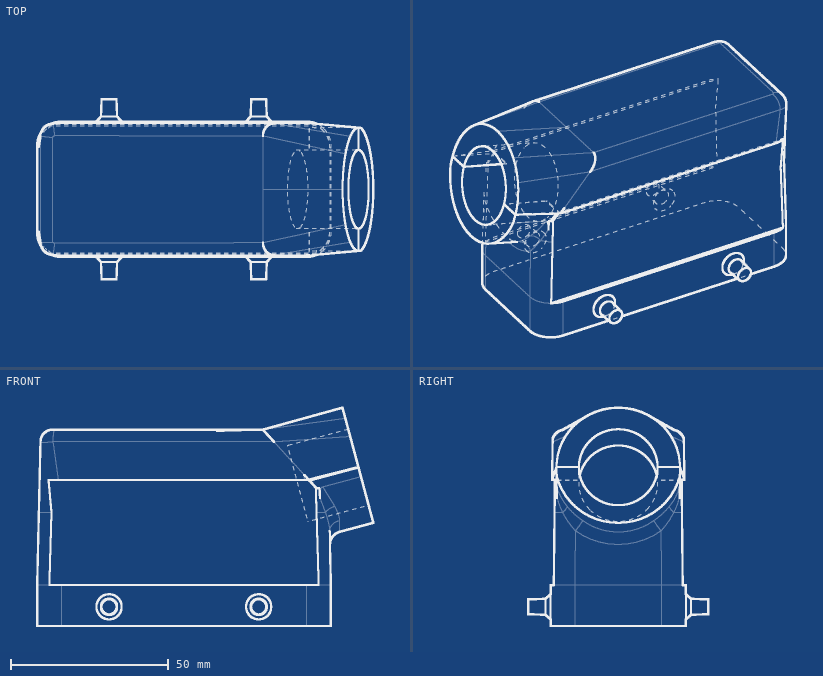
import cadquery as cq
import math

base_length = 93.3
base_width = 43.0
base_height = 13.0
base_corner_radius = 7.7

body_top = 62.35
end_draft = 1.33
side_draft = 0.8
corner_change_height = 36.0
top_corner_radius = 3.4
top_edge_radius = 3.9

panel_top = 46.4
panel_depth_bottom = 1.0
panel_half_width_top = 20.15

pin_spacing = 47.5
first_pin_from_end = 22.85
pin_height = 6.1
pin_span = 57.2
pin_root_diameter = 8.0
pin_collar_length = 1.6
pin_base_diameter = 5.2
pin_tip_diameter = 4.8

neck_tilt = 15.0
overall_height = 69.34
neck_reach = 60.13
neck_upper_radius = 19.6
neck_flat_drop = 3.1
neck_flat_half_width = 19.5
neck_lower_height = 18.3
neck_inner_length = 34.0
neck_root_fillet = 4.0
mouth_side_angle = 31.0
mouth_top_angle = 55.0
shoulder_start_x = 25.0
shoulder_end_x = 39.6
bore_diameter = 25.0
bore_depth = 20.0

tilt = math.radians(neck_tilt)
neck_center_x = neck_reach - neck_lower_height * math.sin(tilt)
neck_center_z = overall_height - neck_upper_radius * math.cos(tilt)
neck_plane = cq.Plane(
    origin=(neck_center_x, 0, neck_center_z),
    xDir=(0, 1, 0),
    normal=(math.cos(tilt), 0, math.sin(tilt)),
)
shoulder_slope = (body_top - panel_top) / (shoulder_end_x - shoulder_start_x)


def body_half_length(z):
    return base_length / 2 - (z - base_height) * math.tan(math.radians(end_draft))


def body_half_width(z):
    return base_width / 2 - (z - base_height) * math.tan(math.radians(side_draft))


def rounded_section(z, back_radius):
    """Body outline at one height; the corners under the neck keep the base radius."""
    outline = cq.Sketch().rect(2 * body_half_length(z), 2 * body_half_width(z))
    outline = outline.vertices("<X").fillet(back_radius).reset()
    outline = outline.vertices(">X").fillet(base_corner_radius)
    return outline.moved(cq.Location(cq.Vector(0, 0, z)))


def body_part(low, low_radius, high, high_radius):
    """Straight-ruled slice of the body between two heights."""
    sections = (rounded_section(low, low_radius), rounded_section(high, high_radius))
    return cq.Workplane("XY").placeSketch(*sections).loft(ruled=True)


def make_body():
    """Drafted block whose back corners tighten above the mid height."""
    lower = body_part(base_height, base_corner_radius, corner_change_height, base_corner_radius)
    upper = body_part(corner_change_height, base_corner_radius, body_top, top_corner_radius)
    upper = upper.faces(">Z").edges().fillet(top_edge_radius)
    return lower.union(upper)


def panel_cutter(side):
    """Wedge outside one recessed side panel."""
    outline = [
        (side * (base_width / 2 - panel_depth_bottom), base_height),
        (side * panel_half_width_top, panel_top),
        (side * base_width, panel_top),
        (side * base_width, base_height),
    ]
    return cq.Workplane("YZ").polyline(outline).close().extrude(base_length, both=True)


def shoulder_cutter():
    """Region beyond the inclined shoulder plane and above the straight lower neck."""
    flat_x = neck_center_x + neck_flat_drop * math.sin(tilt)
    flat_z = neck_center_z - neck_flat_drop * math.cos(tilt)
    rise = flat_z - flat_x * math.tan(tilt)
    corner_x = (body_top + shoulder_slope * shoulder_start_x - rise) / (math.tan(tilt) + shoulder_slope)
    corner_z = rise + corner_x * math.tan(tilt)
    outline = [
        (0, body_top + shoulder_slope * shoulder_start_x),
        (corner_x, corner_z),
        (base_length, rise + base_length * math.tan(tilt)),
        (base_length, 2 * body_top),
    ]
    return cq.Workplane("XZ").polyline(outline).close().extrude(base_width, both=True)


def shoulder_point(y, z):
    return cq.Vector(shoulder_start_x + (body_top - z) / shoulder_slope, y, z)


def shoulder_wire():
    """Round-topped body section on the inclined shoulder plane."""
    edge_z = body_top - top_edge_radius
    side_y = body_half_width(edge_z)
    top_y = side_y - top_edge_radius
    arc_shift = top_edge_radius * math.sqrt(0.5)

    def side_points(sign):
        foot = shoulder_point(sign * body_half_width(panel_top), panel_top)
        side = shoulder_point(sign * side_y, edge_z)
        middle = shoulder_point(sign * (top_y + arc_shift), edge_z + arc_shift)
        top = shoulder_point(sign * top_y, body_top)
        return foot, side, middle, top

    foot_a, side_a, middle_a, top_a = side_points(-1)
    foot_b, side_b, middle_b, top_b = side_points(1)
    center = shoulder_point(0, body_top)
    return cq.Wire.assembleEdges([
        cq.Edge.makeLine(foot_a, side_a),
        cq.Edge.makeThreePointArc(side_a, middle_a, top_a),
        cq.Edge.makeLine(top_a, center),
        cq.Edge.makeLine(center, top_b),
        cq.Edge.makeThreePointArc(top_b, middle_b, side_b),
        cq.Edge.makeLine(side_b, foot_b),
        cq.Edge.makeLine(foot_b, foot_a),
    ])


def mouth_wire():
    """Upper half of the neck mouth, split to match the shoulder section."""
    right_breaks = [0, mouth_side_angle, mouth_top_angle]
    left_breaks = [180 - angle for angle in reversed(right_breaks)]
    breaks = right_breaks + [90] + left_breaks
    breaks.reverse()

    def mouth_point(angle):
        x = neck_upper_radius * math.cos(math.radians(angle))
        y = neck_upper_radius * math.sin(math.radians(angle))
        return neck_plane.toWorldCoords((x, y))

    edges = []
    for start, end in zip(breaks, breaks[1:]):
        middle = (start + end) / 2
        edges.append(cq.Edge.makeThreePointArc(mouth_point(start), mouth_point(middle), mouth_point(end)))
    edges.append(cq.Edge.makeLine(mouth_point(0), mouth_point(180)))
    return cq.Wire.assembleEdges(edges)


def make_neck_top():
    """Transition from the body section to the round mouth."""
    return cq.Workplane(cq.Solid.makeLoft([shoulder_wire(), mouth_wire()], True))


def make_neck_bottom():
    """Straight lower half of the neck, running back into the body."""
    return (
        cq.Workplane(neck_plane)
        .moveTo(-neck_upper_radius, 0)
        .lineTo(-neck_flat_half_width, -neck_flat_drop)
        .threePointArc((0, -neck_lower_height), (neck_flat_half_width, -neck_flat_drop))
        .lineTo(neck_upper_radius, 0)
        .close()
        .extrude(-neck_inner_length)
    )


def neck_root_selector():
    """Picks the bottom of the seam where the lower neck leaves the end wall."""
    seam_z = neck_center_z - neck_lower_height
    seam_x = body_half_length(seam_z)
    reach = neck_root_fillet
    low = (seam_x - reach, -neck_upper_radius, seam_z - reach)
    high = (seam_x + reach, neck_upper_radius, seam_z + reach)
    return cq.selectors.BoxSelector(low, high)


def make_pin(x, side):
    """Tapered locking pin with a conical root."""
    wall = base_width / 2
    collar = wall + pin_collar_length
    profile = [
        (0, 0),
        (pin_root_diameter / 2, 0),
        (pin_root_diameter / 2, wall),
        (pin_base_diameter / 2, collar),
        (pin_tip_diameter / 2, pin_span / 2),
        (0, pin_span / 2),
    ]
    pin = cq.Workplane("XY").polyline(profile).close().revolve(360, (0, 0), (0, 1))
    if side < 0:
        pin = pin.mirror("XZ")
    return pin.translate((x, 0, pin_height))


base = cq.Workplane("XY").rect(base_length, base_width).extrude(base_height)
base = base.edges("|Z").fillet(base_corner_radius)

body = make_body()
for side in (-1, 1):
    body = body.cut(panel_cutter(side))

hood = body.union(make_neck_bottom())
hood = hood.edges(neck_root_selector()).fillet(neck_root_fillet)
hood = hood.cut(shoulder_cutter()).union(make_neck_bottom()).union(make_neck_top())
hood = hood.union(base)

first_pin_x = first_pin_from_end - base_length / 2
for pin_x in (first_pin_x, first_pin_x + pin_spacing):
    for side in (-1, 1):
        hood = hood.union(make_pin(pin_x, side))

bore = cq.Workplane(neck_plane).circle(bore_diameter / 2).extrude(-bore_depth)
result = hood.cut(bore)